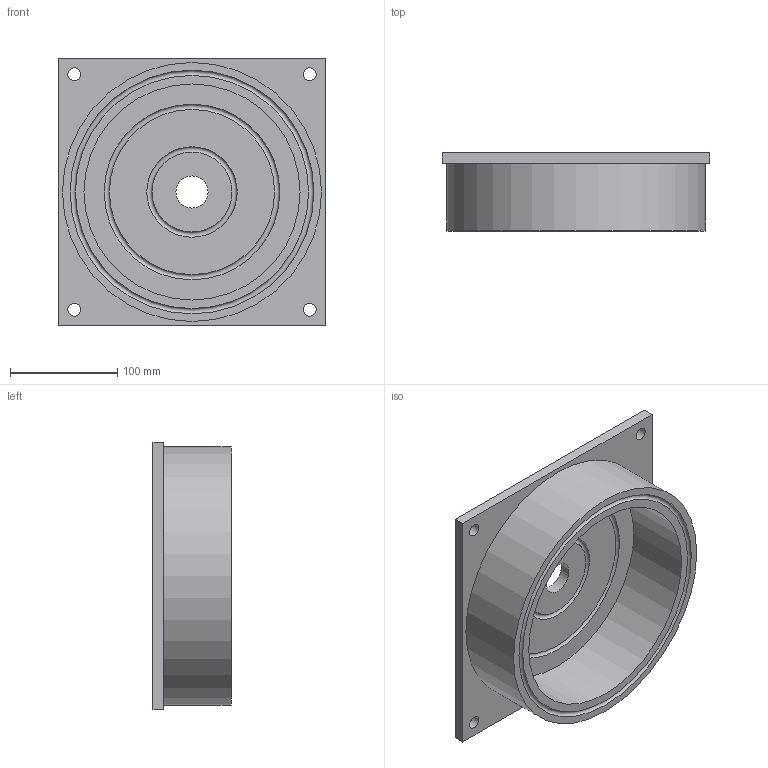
import cadquery as cq

plate_side = 250.0
plate_thickness = 10.0
corner_hole_diameter = 12.0
corner_hole_inset = 15.0
center_hole_diameter = 30.0

total_depth = 73.0
wall_outer_diameter = 242.0
wall_inner_diameter = 202.0

groove_radius = 2.45
rim_groove_center_radius = 111.4
floor_groove_center_radii = (39.8, 79.6)

floor_y = -plate_thickness
rim_y = -total_depth


def cylinder_from_back(diameter, depth):
    """Cylinder about the Y axis, from the back of the plate toward -Y."""
    return cq.Workplane("XZ").circle(diameter / 2).extrude(depth)


def ring_groove(center_radius, face_y):
    """Torus about the Y axis whose tube is centered on the face at face_y."""
    return (
        cq.Workplane("XY")
        .center(center_radius, face_y)
        .circle(groove_radius)
        .revolve(360, (-center_radius, 0), (-center_radius, 1))
    )


def make_plate():
    """Square plate with a through hole near each corner."""
    hole_pitch = plate_side - 2 * corner_hole_inset
    plate = cq.Workplane("XZ").rect(plate_side, plate_side).extrude(plate_thickness)
    corner_holes = (
        cq.Workplane("XZ")
        .rect(hole_pitch, hole_pitch, forConstruction=True)
        .vertices()
        .circle(corner_hole_diameter / 2)
        .extrude(plate_thickness)
    )
    return plate.cut(corner_holes)


def make_wall():
    """Round wall that starts on the front face of the plate."""
    return (
        cq.Workplane("XZ", origin=(0, floor_y, 0))
        .circle(wall_outer_diameter / 2)
        .circle(wall_inner_diameter / 2)
        .extrude(total_depth - plate_thickness)
    )


result = make_plate().union(make_wall())
result = result.cut(cylinder_from_back(center_hole_diameter, plate_thickness))
result = result.cut(ring_groove(rim_groove_center_radius, rim_y))
for floor_groove_center_radius in floor_groove_center_radii:
    result = result.cut(ring_groove(floor_groove_center_radius, floor_y))